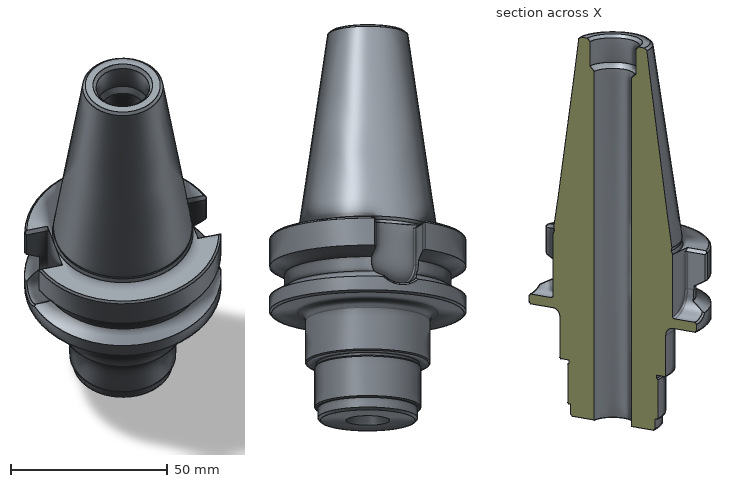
import cadquery as cq
import math

total_height = 127.3

gauge_radius = 22.3
gauge_height = 62.1
taper_on_radius = 7 / 48
taper_end_chamfer = 0.8
relief_radius = 22.0
relief_height = 61.1
relief_foot_radius = 22.5

upper_flange_radius = 31.5
lower_flange_radius = 63.0 / 2
flange_top = 60.0
flange_bottom = 35.1
flange_chamfer = 0.6
groove_radius = 26.7
groove_top = 47.7
groove_bottom = 43.0
groove_flank_slope = math.tan(math.radians(30))

body_radius = 20.0
body_bottom = 18.6
body_fillet = 2.5
body_chamfer = 0.4
collar_radius = 34.0 / 2
collar_bottom = 4.0
collar_chamfer = 0.4
collar_neck_radius = 16.5
collar_neck_bottom = 17.7
tip_radius = 32.0 / 2
tip_chamfer = 0.8

through_radius = 13.9 / 2
counterbore_radius = 8.5
counterbore_depth = 9.2
bore_mouth_chamfer = 1.0

slot_half_width = 8.0
slot_arc_height = 46.6
slot_floor = 22.5
slot_floor_fillet = 0.6
slot_rim_chamfer = 0.6
slot_top_chamfer = 1.0

selection_margin = 0.1


def turned_body():
    """Revolve the outer half profile, from the nose up to the small taper end."""
    taper_end_radius = gauge_radius - (total_height - gauge_height) * taper_on_radius
    chamfer_start_radius = taper_end_radius + taper_end_chamfer * taper_on_radius
    lower_flank_height = (lower_flange_radius - groove_radius) * groove_flank_slope
    upper_flank_height = (upper_flange_radius - groove_radius) * groove_flank_slope
    collar_shoulder = collar_neck_bottom - (collar_radius - collar_neck_radius)
    fillet_diagonal = body_fillet * (1 - math.sqrt(0.5))

    profile = (
        cq.Workplane("XZ")
        .lineTo(tip_radius - tip_chamfer, 0)
        .lineTo(tip_radius, tip_chamfer)
        .lineTo(tip_radius, collar_bottom)
        .lineTo(collar_radius - collar_chamfer, collar_bottom)
        .lineTo(collar_radius, collar_bottom + collar_chamfer)
        .lineTo(collar_radius, collar_shoulder)
        .lineTo(collar_neck_radius, collar_neck_bottom)
        .lineTo(collar_neck_radius, body_bottom)
        .lineTo(body_radius - body_chamfer, body_bottom)
        .lineTo(body_radius, body_bottom + body_chamfer)
        .lineTo(body_radius, flange_bottom - body_fillet)
        .threePointArc(
            (body_radius + fillet_diagonal, flange_bottom - fillet_diagonal),
            (body_radius + body_fillet, flange_bottom),
        )
        .lineTo(lower_flange_radius - flange_chamfer, flange_bottom)
        .lineTo(lower_flange_radius, flange_bottom + flange_chamfer)
        .lineTo(lower_flange_radius, groove_bottom - lower_flank_height)
        .lineTo(groove_radius, groove_bottom)
        .lineTo(groove_radius, groove_top)
        .lineTo(upper_flange_radius, groove_top + upper_flank_height)
        .lineTo(upper_flange_radius, flange_top - flange_chamfer)
        .lineTo(upper_flange_radius - flange_chamfer, flange_top)
        .lineTo(relief_foot_radius, flange_top)
        .lineTo(relief_radius, relief_height)
        .lineTo(gauge_radius, gauge_height)
        .lineTo(chamfer_start_radius, total_height - taper_end_chamfer)
        .lineTo(taper_end_radius - taper_end_chamfer, total_height)
        .lineTo(0, total_height)
        .close()
    )
    return profile.revolve(360, (0, 0, 0), (0, 1, 0))


def bore():
    """Through hole with a conical-bottomed counterbore and a chamfered mouth."""
    counterbore_bottom = total_height - counterbore_depth
    cone_bottom = counterbore_bottom - (counterbore_radius - through_radius)
    return (
        cq.Workplane("XZ")
        .lineTo(through_radius, 0)
        .lineTo(through_radius, cone_bottom)
        .lineTo(counterbore_radius, counterbore_bottom)
        .lineTo(counterbore_radius, total_height - bore_mouth_chamfer)
        .lineTo(counterbore_radius + bore_mouth_chamfer, total_height)
        .lineTo(0, total_height)
        .close()
        .revolve(360, (0, 0, 0), (0, 1, 0))
    )


def slot_outline(half_width, y):
    """Closed U-shaped outline in a plane facing -Y at the given distance."""
    return (
        cq.Workplane("XZ", origin=(0, -y, 0))
        .moveTo(-half_width, flange_top)
        .lineTo(-half_width, slot_arc_height)
        .threePointArc((0, slot_arc_height - half_width), (half_width, slot_arc_height))
        .lineTo(half_width, flange_top)
        .close()
    )


def drive_slot():
    """Cutter for the -Y slot: filleted floor and a chamfer along its top edges."""
    depth = lower_flange_radius - slot_floor
    channel = slot_outline(slot_half_width, slot_floor).extrude(depth)
    channel = channel.faces(">Y").edges("not >Z").fillet(slot_floor_fillet)
    top_chamfer = (
        cq.Workplane("XZ", origin=(0, -slot_floor, 0))
        .moveTo(-slot_half_width - slot_top_chamfer, flange_top)
        .lineTo(-slot_half_width, flange_top - slot_top_chamfer)
        .lineTo(slot_half_width, flange_top - slot_top_chamfer)
        .lineTo(slot_half_width + slot_top_chamfer, flange_top)
        .close()
        .extrude(depth)
    )
    return channel.union(top_chamfer)


def bevel_slot_rims(part):
    """Chamfer the slot edges that lie on the two flange cylinders."""
    wall_rim_y = math.sqrt(upper_flange_radius**2 - slot_half_width**2)
    zone_half_width = slot_half_width + selection_margin
    zone_inner_y = wall_rim_y - selection_margin
    zone_outer_y = lower_flange_radius + selection_margin
    zone_bottom = flange_bottom + flange_chamfer
    zone_top = flange_top - slot_top_chamfer + selection_margin
    for side in (-1, 1):
        rim_zone = cq.selectors.BoxSelector(
            (-zone_half_width, side * zone_inner_y, zone_bottom),
            (zone_half_width, side * zone_outer_y, zone_top),
            boundingbox=True,
        )
        part = part.edges(rim_zone).chamfer(slot_rim_chamfer)
    return part


result = turned_body().cut(bore())
slot = drive_slot()
for angle in (0, 180):
    result = result.cut(slot.rotate((0, 0, 0), (0, 0, 1), angle))
result = bevel_slot_rims(result)